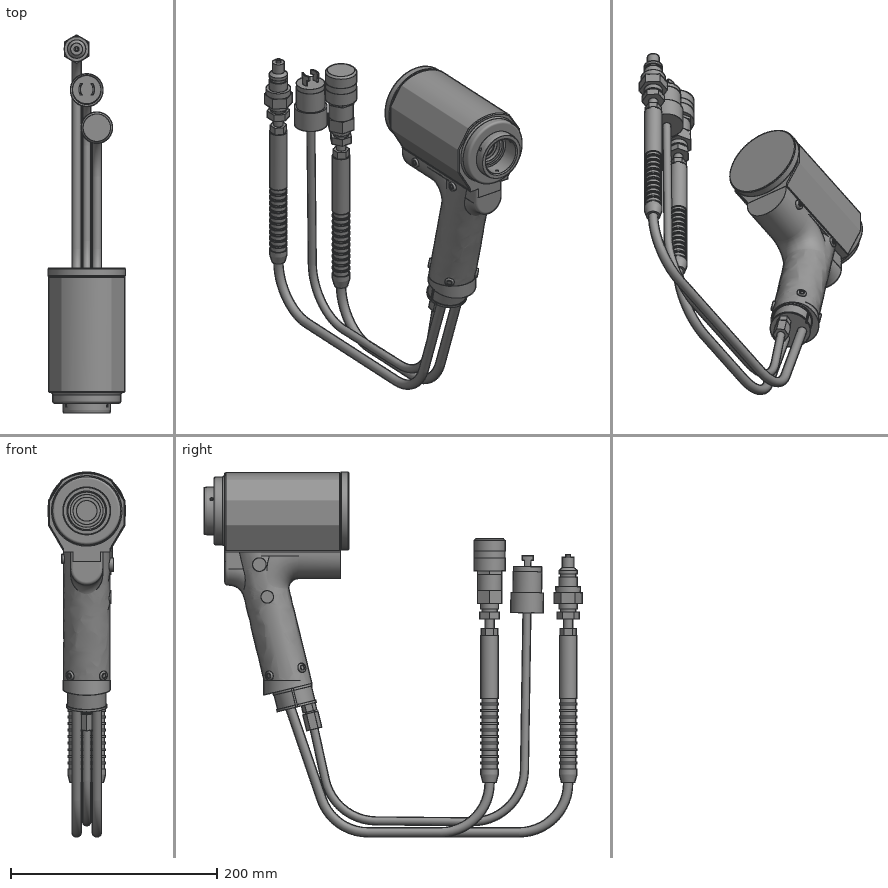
import cadquery as cq
import math


BARREL_LENGTH = 112.3
BARREL_HALF_WIDTH = 37.0
BARREL_TOP = 37.2
ARC_END_X, ARC_END_Z = 24.3, 29.8
SIDE_TOP_Z, SIDE_BOTTOM_Z = 10.1, -14.1
BASE_HALF_WIDTH = 22.6
SKIRT_TOP_Z = -38.5
BASE_Z = -39.8
CORNER_ROUND = 1.2
END_CHAMFER = 1.0
RING_RADIUS = 37.72
RING_THICKNESS = 8.1
RING_CHAMFER = 0.8

FLANGE_RADIUS = 33.0
FLANGE_LENGTH = 10.5
FLANGE_ROUND = 2.3
NOSE_RADIUS = 23.2
NOSE_END = 19.9
NOSE_BEVEL_LENGTH = 2.8
NOSE_BEVEL = 0.6
MOUTH_DIAMETER = 38.5
MOUTH_DEPTH = 1.2
WIDE_BORE_DIAMETER = 36.2
WIDE_BORE_DEPTH = 18.0
BORE_DIAMETER = 31.75
BORE_DEPTH = 20.5
INNER_BORE_DIAMETER = 26.4
INNER_BORE_DEPTH = 25.0
BORE_FLOOR_DIAMETER = 20.0
BORE_FLOOR_DEPTH = 26.0
SET_SCREW_DIAMETER = 2.71
SET_SCREW_ANGLES = (30, 150, 270)
SET_SCREW_SETBACK = 12.7

TAB_HALF_WIDTH = 13.2
TAB_DROP = 9.4
TAB_THICKNESS = 4.0

GRIP_TILT = 13.7
GRIP_HALF_WIDTH = BASE_HALF_WIDTH
GRIP_HALF_DEPTH = 22.3
GRIP_TOP_Y, GRIP_TOP_Z = 31.5, -43.5
GRIP_LENGTH = 132.6
GRIP_OVERRUN = 20.0
ARM_RADIUS = 22.2
REAR_BEND_INSIDE = 9.0
COLLAR_Y, COLLAR_TOP_Z = 60.6, -164.5
COLLAR_RADIUS = 22.9
COLLAR_HEIGHT = 20.0

TONGUE_RADIUS = 15.7
TONGUE_BOTTOM_Z = -72.0
TONGUE_EDGE_ROUND = 3.0
FRONT_BEND_INSIDE = 14.7
SEAT_INSET = 0.2

SCREW_HEAD_DIAMETER = 9.14
SCREW_HEAD_HEIGHT = 1.7
SCREW_HEAD_ROUND = 0.9
SCREW_SINK = 2.0
SCREW_SOCKET = 4.83
SCREW_SOCKET_DEPTH = 1.0
SIDE_SCREW_YS = (29.2, 89.9)
SIDE_SCREW_Z = -46.4
GRIP_SCREW_ALONG = 115.6
GRIP_SCREW_ANGLES = (45, 135, 225, 315)
SIDE_PADS = ((13.2, -52.0, 26.0), (12.1, -83.3, 23.7))

FERRULE_RADIUS = 18.75
FERRULE_LENGTH = 18.8
FERRULE_SHIFT = 2.5
FERRULE_RIM_RADIUS = 19.4
FERRULE_RIM = 2.4
FERRULE_LIP_RADIUS = 19.6
FERRULE_LIP = 2.2
SEAM_WIDTH = 1.8
SEAM_DEPTH = 0.8
GLAND_SHIFT = 13.9
GLAND = ((7.2, 12.0, 6), (1.5, 9.14, 0), (16.0, 13.2, 6))

CABLE_SPACING = 9.8
CORD_DIAMETER = 7.92
CORD_INSERT = 5.0
CORD_BEND = 50.8
CORD_FRONT = (106.0, -299.9)
CORD_REAR = (289.5, -301.6)
CORD_END = (292.7, -98.8)

OVERALL_HEIGHT = 353.62
HOSE_DIAMETER = 9.14
HOSE_BEND = 47.5
HOSE_START = (61.5, -185.0)
HOSE_FRONT_Y = 104.9
HOSE_RUN_Z = RING_RADIUS - OVERALL_HEIGHT + HOSE_DIAMETER / 2
PLUG_HOSE_Y = 332.6
SOCKET_HOSE_Y = 256.5

RELIEF_BOTTOM = -263.2
RELIEF_END_DIAMETER = 13.0
RELIEF_COLLAR_BOTTOM, RELIEF_COLLAR_TOP = -255.4, -249.9
SLEEVE_DIAMETER = 17.14
SLEEVE_BOTTOM, SLEEVE_TOP = -181.6, -120.9
RELIEF_CORE_DIAMETER = 15.11
RIB_COUNT = 10
RIB_PITCH = 6.35
RIB_THICKNESS = 1.9
FIRST_RIB_Z = -186.9

BODY_DIAMETER = 17.78
COUPLING_HEX = 23.8
NUT_HEX = 19.05
SLEEVE_HEX = 14.0
SLEEVE_HEX_LENGTH = 7.2
FITTING = ((8.8, 9.14, 0), (7.1, NUT_HEX, 6), (2.7, 15.11, 0), (5.3, BODY_DIAMETER, 0))
FITTING_Z = SLEEVE_TOP + SLEEVE_HEX_LENGTH
PLUG = (
    (10.6, COUPLING_HEX, 6),
    (5.9, 24.0, 0),
    (9.1, BODY_DIAMETER, 0),
    (3.1, 15.11, 0),
    (3.4, BODY_DIAMETER, 0),
)
PLUG_CONE = 2.8
PLUG_TIP = ((10.1, 11.68, 0), (2.5, 4.83, 0))
PLUG_TIP_HOLE = 2.54
PLUG_TIP_HOLE_DEPTH = 6.0
SOCKET = ((12.5, COUPLING_HEX, 6), (15.8, COUPLING_HEX, 0), (3.4, COUPLING_HEX, 6))
SOCKET_CAP_DIAMETER = 30.6
SOCKET_CAP_LENGTH = 31.2
SOCKET_CAP_CHAMFER = 2.0
SOCKET_BAND_DIAMETER = 30.2
SOCKET_BAND_BOTTOM, SOCKET_BAND_HEIGHT = 12.5, 6.5

MAINS_PLUG = ((19.7, 31.75, 0), (20.3, 28.0, 0), (4.9, 27.5, 0))
BLADE_THICKNESS = 1.52
BLADE_REACH = 7.6
BLADE_CURVE = 11.0
BLADE_STEM_WIDTH = 6.35
BLADE_HEAD_WIDTH = 11.0
BLADE_HEIGHT = 10.6
BLADE_HEAD_HEIGHT = 4.6

BIG = 400.0


def tilt_dir(angle):
    """Unit (Y, Z) direction leaning `angle` degrees rearward from straight down."""
    return math.sin(math.radians(angle)), -math.cos(math.radians(angle))


def bent_tube(points, bend, radius, x=0.0):
    """Round bar along (Y, Z) points at a constant X, each inner corner rounded to `bend`."""
    path = cq.Workplane("YZ", origin=(x, 0, 0)).moveTo(*points[0])
    for before, corner, after in zip(points, points[1:], points[2:]):
        into = cq.Vector(*before).sub(cq.Vector(*corner)).normalized()
        out = cq.Vector(*after).sub(cq.Vector(*corner)).normalized()
        reach = bend / math.tan(into.getAngle(out) / 2)
        start = cq.Vector(*corner) + into * reach
        end = cq.Vector(*corner) + out * reach
        path = path.lineTo(start.x, start.y).tangentArcPoint((end.x, end.y), relative=False)
    path = path.lineTo(*points[-1])
    start = cq.Vector(x, *points[0])
    heading = cq.Vector(x, *points[1]).sub(start)
    profile = cq.Workplane(cq.Plane(start, xDir=(1, 0, 0), normal=heading)).circle(radius)
    return profile.sweep(path)


def upright(x, y, z):
    return cq.Plane((x, y, z), xDir=(1, 0, 0), normal=(0, 0, 1))


def section(plane, length, width, sides, turn=0.0):
    """Round or polygonal bar; a polygon's width is measured across its flats."""
    base = cq.Workplane(plane)
    if sides == 0:
        return base.circle(width / 2).extrude(length)
    corner_diameter = width / math.cos(math.pi / sides)
    return base.transformed(rotate=(0, 0, turn)).polygon(sides, corner_diameter).extrude(length)


def stack(plane, sections, turn=0.0):
    """Sections laid end to end along the plane's normal."""
    offset = 0.0
    bars = []
    for length, width, sides in sections:
        step_plane = cq.Plane(plane.toWorldCoords((0, 0, offset)), plane.xDir, plane.zDir)
        bars.append(section(step_plane, length, width, sides, turn))
        offset += length
    body = bars[0]
    for bar in bars[1:]:
        body = body.union(bar)
    return body


def stack_length(sections):
    return sum(length for length, _, _ in sections)


def barrel_shell():
    shell = (
        cq.Workplane("XZ")
        .moveTo(-ARC_END_X, ARC_END_Z)
        .threePointArc((0, BARREL_TOP), (ARC_END_X, ARC_END_Z))
        .lineTo(BARREL_HALF_WIDTH, SIDE_TOP_Z)
        .lineTo(BARREL_HALF_WIDTH, SIDE_BOTTOM_Z)
        .lineTo(BASE_HALF_WIDTH, SKIRT_TOP_Z)
        .lineTo(BASE_HALF_WIDTH, BASE_Z)
        .lineTo(-BASE_HALF_WIDTH, BASE_Z)
        .lineTo(-BASE_HALF_WIDTH, SKIRT_TOP_Z)
        .lineTo(-BARREL_HALF_WIDTH, SIDE_BOTTOM_Z)
        .lineTo(-BARREL_HALF_WIDTH, SIDE_TOP_Z)
        .close()
        .extrude(-BARREL_LENGTH)
    )
    upper_corners = cq.selectors.BoxSelector((-BIG, -BIG, SKIRT_TOP_Z + CORNER_ROUND), (BIG, BIG, BIG))
    shell = shell.edges("|Y").edges(upper_corners).fillet(CORNER_ROUND)
    return shell.faces("<Y or >Y").edges(upper_corners).chamfer(END_CHAMFER)


def barrel_ring():
    ring = cq.Workplane("XZ", origin=(0, BARREL_LENGTH, 0)).circle(RING_RADIUS).extrude(-RING_THICKNESS)
    return ring.edges().chamfer(RING_CHAMFER)


def barrel_nose():
    """Flange with a flared root and rounded rim, and the bevelled nose in front of it."""
    profile = (
        cq.Workplane("XY")
        .lineTo(FLANGE_RADIUS + FLANGE_ROUND / 2, 0)
        .lineTo(FLANGE_RADIUS, -FLANGE_ROUND)
        .lineTo(FLANGE_RADIUS, FLANGE_ROUND - FLANGE_LENGTH)
        .tangentArcPoint((-FLANGE_ROUND, -FLANGE_ROUND))
        .lineTo(NOSE_RADIUS, -FLANGE_LENGTH)
        .lineTo(NOSE_RADIUS, NOSE_BEVEL_LENGTH - NOSE_END)
        .lineTo(NOSE_RADIUS - NOSE_BEVEL, -NOSE_END)
        .lineTo(0, -NOSE_END)
        .close()
    )
    return profile.revolve(360, (0, 0, 0), (0, 1, 0))


def nose_bore():
    """Stepped bore with a tapered mouth, and radial set screw holes through its wall."""
    mouth = cq.Workplane("XZ", origin=(0, -NOSE_END, 0))
    steps = (
        (WIDE_BORE_DIAMETER, WIDE_BORE_DEPTH),
        (BORE_DIAMETER, BORE_DEPTH),
        (INNER_BORE_DIAMETER, INNER_BORE_DEPTH),
        (BORE_FLOOR_DIAMETER, BORE_FLOOR_DEPTH),
    )
    bore = mouth.circle(MOUTH_DIAMETER / 2).workplane(offset=-MOUTH_DEPTH)
    bore = bore.circle(WIDE_BORE_DIAMETER / 2).loft()
    for diameter, depth in steps:
        bore = bore.union(mouth.circle(diameter / 2).extrude(-depth))
    for angle in SET_SCREW_ANGLES:
        outward = (math.cos(math.radians(angle)), 0, math.sin(math.radians(angle)))
        plane = cq.Plane((0, -SET_SCREW_SETBACK, 0), xDir=(0, 1, 0), normal=outward)
        bore = bore.union(cq.Workplane(plane).circle(SET_SCREW_DIAMETER / 2).extrude(FLANGE_RADIUS))
    return bore


def front_tab():
    return cq.Workplane("XY").box(
        2 * TAB_HALF_WIDTH, TAB_THICKNESS, TAB_DROP, centered=(True, False, False)
    ).translate((0, 0, BASE_Z - TAB_DROP))


def make_barrel():
    return barrel_shell().union(barrel_ring()).union(barrel_nose()).union(front_tab()).cut(nose_bore())


def grip_point(along, rearward=0.0):
    """(Y, Z) of a point `along` the grip axis from its top and `rearward` square to it."""
    dy, dz = tilt_dir(GRIP_TILT)
    return (GRIP_TOP_Y + along * dy - rearward * dz, GRIP_TOP_Z + along * dz + rearward * dy)


def grip_plane(along, rearward=0.0):
    """Plane square to the grip axis, facing down the grip, local X toward +X."""
    return cq.Plane((0, *grip_point(along, rearward)), xDir=(1, 0, 0), normal=(0, *tilt_dir(GRIP_TILT)))


def grip():
    """Straight grip, with a bell-like collar that keeps upright down to the grip's slanted end."""
    bar = cq.Workplane(grip_plane(-GRIP_OVERRUN))
    bar = bar.ellipse(GRIP_HALF_WIDTH, GRIP_HALF_DEPTH).extrude(GRIP_OVERRUN + GRIP_LENGTH)
    collar = cq.Workplane("XY", origin=(0, COLLAR_Y, COLLAR_TOP_Z))
    collar = collar.circle(COLLAR_RADIUS).extrude(-COLLAR_HEIGHT)
    above_end = cq.Workplane(grip_plane(GRIP_LENGTH)).rect(BIG, BIG).extrude(-BIG)
    return bar.union(collar.intersect(above_end))


def rear_arm():
    """Tube under the barrel that bends down into the grip."""
    points = [(BARREL_LENGTH, GRIP_TOP_Z), (GRIP_TOP_Y, GRIP_TOP_Z), grip_point(GRIP_LENGTH / 2)]
    return bent_tube(points, REAR_BEND_INSIDE + ARM_RADIUS, ARM_RADIUS)


def saddle():
    """Square-sided top of the handle that fills up to the barrel's flat base."""
    length = BARREL_LENGTH - GRIP_TOP_Y
    block = cq.Workplane("XY").box(2 * ARM_RADIUS, length, BASE_Z - GRIP_TOP_Z, centered=(True, False, False))
    return block.translate((0, GRIP_TOP_Y, GRIP_TOP_Z))


def tongue():
    """Round-bottomed front tongue that bends down into the front of the grip."""
    axis_z = TONGUE_BOTTOM_Z + TONGUE_RADIUS
    inset = GRIP_HALF_DEPTH - TONGUE_RADIUS - SEAT_INSET
    low_y, low_z = grip_point(GRIP_LENGTH / 2, -inset)
    corner_y = low_y - (axis_z - low_z) * math.tan(math.radians(GRIP_TILT))
    points = [(0, axis_z), (corner_y, axis_z), (low_y, low_z)]
    bar = bent_tube(points, FRONT_BEND_INSIDE + TONGUE_RADIUS, TONGUE_RADIUS)
    web = cq.Workplane("XY").box(
        2 * TONGUE_RADIUS, GRIP_TOP_Y, BASE_Z - axis_z, centered=(True, False, False)
    ).translate((0, 0, axis_z))
    return bar.union(web)


def screw_head(plane):
    """Button head with a round socket on an outward-facing plane, its root sunk below the plane."""
    head = cq.Workplane(plane).workplane(offset=-SCREW_SINK).circle(SCREW_HEAD_DIAMETER / 2)
    head = head.extrude(SCREW_SINK + SCREW_HEAD_HEIGHT)
    head = head.faces(cq.selectors.DirectionMinMaxSelector(plane.zDir)).edges().fillet(SCREW_HEAD_ROUND)
    top = cq.Workplane(plane).workplane(offset=SCREW_HEAD_HEIGHT)
    return head.cut(top.circle(SCREW_SOCKET / 2).extrude(-SCREW_SOCKET_DEPTH))


def handle_screws():
    planes = []
    for y in SIDE_SCREW_YS:
        planes.append(cq.Plane((-GRIP_HALF_WIDTH, y, SIDE_SCREW_Z), xDir=(0, 1, 0), normal=(-1, 0, 0)))
    for angle in GRIP_SCREW_ANGLES:
        square = grip_plane(GRIP_SCREW_ALONG)
        turn = math.radians(angle)
        outward = square.toWorldCoords((math.cos(turn), math.sin(turn), 0)) - square.origin
        planes.append(cq.Plane(square.origin + outward * GRIP_HALF_WIDTH, xDir=square.zDir, normal=outward))
    return [screw_head(plane) for plane in planes]


def side_pads():
    pads = []
    for diameter, z, outer_x in SIDE_PADS:
        along = (GRIP_TOP_Z - z) / math.cos(math.radians(GRIP_TILT))
        y, _ = grip_point(along)
        pads.append(cq.Workplane("YZ", origin=(0, y, z)).circle(diameter / 2).extrude(outer_x))
    return pads


def ferrule():
    """Ferrule with a rim, a lip and a shallow seam down each side, and the cord gland below it."""
    sections = (
        (FERRULE_RIM, 2 * FERRULE_RIM_RADIUS, 0),
        (FERRULE_LENGTH - FERRULE_RIM - FERRULE_LIP, 2 * FERRULE_RADIUS, 0),
        (FERRULE_LIP, 2 * FERRULE_LIP_RADIUS, 0),
    )
    gland_plane = grip_plane(GRIP_LENGTH + FERRULE_LENGTH, GLAND_SHIFT)
    plane = grip_plane(GRIP_LENGTH, FERRULE_SHIFT)
    seam_bar = cq.Workplane(plane).rect(BIG, SEAM_WIDTH).extrude(FERRULE_LENGTH)
    seam = seam_bar.cut(cq.Workplane(plane).circle(FERRULE_RADIUS - SEAM_DEPTH).extrude(FERRULE_LENGTH))
    return stack(plane, sections).cut(seam).union(stack(gland_plane, GLAND, turn=30))


def mains_blades():
    """Two curved twist-lock blades, each a stem with a wider head."""
    centre = BLADE_REACH - BLADE_CURVE
    stem = cq.Workplane("XY").box(BIG, BLADE_STEM_WIDTH, BLADE_HEIGHT, centered=(False, True, False))
    head = cq.Workplane("XY").box(BIG, BLADE_HEAD_WIDTH, BLADE_HEAD_HEIGHT, centered=(False, True, False))
    side_view = stem.union(head.translate((0, 0, BLADE_HEIGHT - BLADE_HEAD_HEIGHT)))
    curve = cq.Workplane("XY", origin=(centre, 0, 0)).circle(BLADE_CURVE)
    blade = curve.circle(BLADE_CURVE - BLADE_THICKNESS).extrude(BLADE_HEIGHT).intersect(side_view)
    return blade.union(blade.mirror("YZ"))


def mains_cord():
    tip = GRIP_LENGTH + FERRULE_LENGTH + stack_length(GLAND)
    points = [grip_point(tip - CORD_INSERT, GLAND_SHIFT), CORD_FRONT, CORD_REAR, CORD_END]
    cord = bent_tube(points, CORD_BEND, CORD_DIAMETER / 2)
    lean = (0, CORD_END[0] - CORD_REAR[0], CORD_END[1] - CORD_REAR[1])
    plane = cq.Plane((0, *CORD_END), xDir=(1, 0, 0), normal=lean)
    blades = mains_blades().val().moved(cq.Location(plane))
    blades = blades.translate(plane.zDir * stack_length(MAINS_PLUG))
    return cord.union(stack(plane, MAINS_PLUG)).union(cq.Workplane(blades))


def sleeve(x, y):
    """Hose sleeve with a ribbed strain relief at its lower end."""
    def disc(bottom, top, diameter):
        return cq.Workplane("XY", origin=(x, y, bottom)).circle(diameter / 2).extrude(top - bottom)

    body = disc(SLEEVE_BOTTOM, SLEEVE_TOP, SLEEVE_DIAMETER)
    body = body.union(disc(RELIEF_COLLAR_TOP, SLEEVE_BOTTOM, RELIEF_CORE_DIAMETER))
    body = body.union(disc(RELIEF_COLLAR_BOTTOM, RELIEF_COLLAR_TOP, SLEEVE_DIAMETER))
    for i in range(RIB_COUNT):
        bottom = FIRST_RIB_Z - i * RIB_PITCH - RIB_THICKNESS / 2
        body = body.union(disc(bottom, bottom + RIB_THICKNESS, SLEEVE_DIAMETER))
    taper = cq.Workplane("XY", origin=(x, y, RELIEF_BOTTOM)).circle(RELIEF_END_DIAMETER / 2)
    taper = taper.workplane(offset=RELIEF_COLLAR_BOTTOM - RELIEF_BOTTOM).circle(SLEEVE_DIAMETER / 2).loft()
    hexagon = section(upright(x, y, SLEEVE_TOP), SLEEVE_HEX_LENGTH, SLEEVE_HEX, 6, turn=30)
    return body.union(taper).union(hexagon)


def hose(x, y):
    points = [HOSE_START, (HOSE_FRONT_Y, HOSE_RUN_Z), (y, HOSE_RUN_Z), (y, SLEEVE_BOTTOM)]
    return bent_tube(points, HOSE_BEND, HOSE_DIAMETER / 2, x).union(sleeve(x, y))


def plug_hose():
    """Hose that ends in a plug: hexagon, grooved barrel, cone and tip."""
    x, y = -CABLE_SPACING, PLUG_HOSE_Y
    lower = FITTING + PLUG
    cone_z = FITTING_Z + stack_length(lower)
    tip_z = cone_z + PLUG_CONE
    end_z = tip_z + stack_length(PLUG_TIP)
    cone = cq.Workplane(upright(x, y, cone_z)).circle(BODY_DIAMETER / 2)
    cone = cone.workplane(offset=PLUG_CONE).circle(PLUG_TIP[0][1] / 2).loft()
    hole = cq.Workplane(upright(x, y, end_z)).circle(PLUG_TIP_HOLE / 2).extrude(-PLUG_TIP_HOLE_DEPTH)
    body = hose(x, y).union(stack(upright(x, y, FITTING_Z), lower, turn=30)).union(cone)
    return body.union(stack(upright(x, y, tip_z), PLUG_TIP)).cut(hole)


def socket_hose():
    """Hose that ends in a socket: hexagonal body and a large cap with a shallow band."""
    x, y = CABLE_SPACING, SOCKET_HOSE_Y
    lower = FITTING + SOCKET
    cap_z = FITTING_Z + stack_length(lower)
    cap = cq.Workplane(upright(x, y, cap_z)).circle(SOCKET_CAP_DIAMETER / 2).extrude(SOCKET_CAP_LENGTH)
    cap = cap.faces(">Z").edges().chamfer(SOCKET_CAP_CHAMFER)
    band = cq.Workplane(upright(x, y, cap_z + SOCKET_BAND_BOTTOM)).circle(SOCKET_CAP_DIAMETER / 2)
    band = band.circle(SOCKET_BAND_DIAMETER / 2).extrude(SOCKET_BAND_HEIGHT)
    return hose(x, y).union(stack(upright(x, y, FITTING_Z), lower)).union(cap.cut(band))


def make_handle():
    """Handle with its screws, ferrule and the three cables fixed in it."""
    body = grip().union(rear_arm()).union(saddle()).union(tongue())
    above_base = cq.Workplane("XY", origin=(0, 0, BASE_Z)).rect(BIG, BIG).extrude(BIG)
    body = body.cut(above_base)
    body = body.faces("<Y").edges("not >Z").fillet(TONGUE_EDGE_ROUND)
    body = body.cut(front_tab())
    for part in handle_screws() + side_pads() + [ferrule(), mains_cord(), plug_hose(), socket_hose()]:
        body = body.union(part)
    return body


barrel = make_barrel()
handle = make_handle()

result = cq.Compound.makeCompound([barrel.val(), handle.val()])